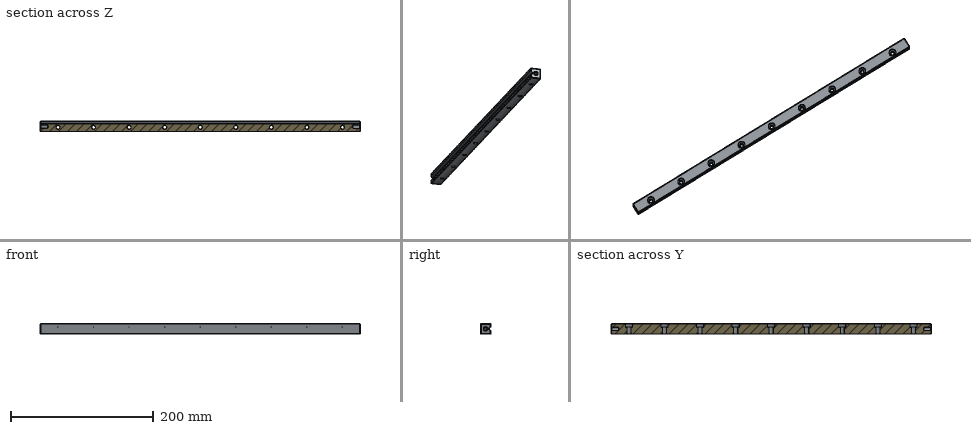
import cadquery as cq
import math

LENGTH = 450.0
WIDTH = 14.9
HEIGHT = 15.0
EDGE_CHAMFER = 0.8
END_CHAMFER_LENGTH = 0.8
END_CHAMFER_INSET = 1.2

GROOVE_OPENING = 6.6
GROOVE_ROOT_WIDTH = 1.6
RELIEF_DEPTH = 1.2

HOLE_COUNT = 9
HOLE_PITCH = 50.0
HOLE_DIAMETER = 5.2
COUNTERBORE_DIAMETER = 9.5
COUNTERBORE_DEPTH = 5.2
HOLE_FROM_BACK = 6.1

END_HOLE_DIAMETER = 4.3
END_HOLE_DEPTH = 10.0
END_COUNTERSINK_DIAMETER = 6.2
DRILL_POINT_ANGLE = 118.0
END_HOLE_FROM_BACK = 7.1

BACK_Y = -WIDTH / 2
FRONT_Y = WIDTH / 2
HOLE_Y = BACK_Y + HOLE_FROM_BACK
END_HOLE_Y = BACK_Y + END_HOLE_FROM_BACK


def tapered_end(end_sign):
    """Shallow chamfered slice that closes the bar on the given side of X."""
    taper = math.degrees(math.atan2(END_CHAMFER_INSET, END_CHAMFER_LENGTH))
    base_x = end_sign * (LENGTH / 2 - END_CHAMFER_LENGTH)
    base = cq.Workplane("YZ", origin=(base_x, 0, 0)).rect(WIDTH, HEIGHT)
    return base.extrude(end_sign * END_CHAMFER_LENGTH, taper=taper)


def rail_bar():
    """Rectangular bar with broken long edges and shallow chamfers round both ends."""
    broken_edges = cq.Workplane("XY").box(LENGTH, WIDTH, HEIGHT).edges("|X").chamfer(EDGE_CHAMFER)
    envelope = cq.Workplane("XY").box(LENGTH - 2 * END_CHAMFER_LENGTH, WIDTH, HEIGHT)
    for end_sign in (-1, 1):
        envelope = envelope.union(tapered_end(end_sign))
    return broken_edges.intersect(envelope)


def roller_groove():
    """V-groove with 45 degree flanks, cut along the whole +Y side."""
    half_opening = GROOVE_OPENING / 2
    half_root = GROOVE_ROOT_WIDTH / 2
    root_y = FRONT_Y - (half_opening - half_root)
    relief_y = root_y - RELIEF_DEPTH
    profile = [
        (FRONT_Y, half_opening),
        (root_y, half_root),
        (relief_y, half_root),
        (relief_y, -half_root),
        (root_y, -half_root),
        (FRONT_Y, -half_opening),
    ]
    return cq.Workplane("YZ").polyline(profile).close().extrude(LENGTH / 2, both=True)


def drill_mounting_holes(bar):
    """Row of counterbored through holes, centred along the length."""
    first_x = -HOLE_PITCH * (HOLE_COUNT - 1) / 2
    centres = [(first_x + i * HOLE_PITCH, HOLE_Y) for i in range(HOLE_COUNT)]
    top = cq.Workplane("XY", origin=(0, 0, HEIGHT / 2)).add(bar)
    return top.pushPoints(centres).cboreHole(HOLE_DIAMETER, COUNTERBORE_DIAMETER, COUNTERBORE_DEPTH)


def end_hole(end_sign):
    """Blind hole with a drill point and 45 degree countersink, on the given end of X."""
    start = cq.Vector(end_sign * LENGTH / 2, END_HOLE_Y, 0)
    inward = cq.Vector(-end_sign, 0, 0)
    hole_radius = END_HOLE_DIAMETER / 2
    countersink_radius = END_COUNTERSINK_DIAMETER / 2
    countersink_depth = countersink_radius - hole_radius
    bore = cq.Solid.makeCylinder(hole_radius, END_HOLE_DEPTH, start, inward)
    countersink = cq.Solid.makeCone(countersink_radius, hole_radius, countersink_depth, start, inward)
    tip_depth = hole_radius / math.tan(math.radians(DRILL_POINT_ANGLE / 2))
    tip_start = start + inward * END_HOLE_DEPTH
    tip = cq.Solid.makeCone(hole_radius, 0, tip_depth, tip_start, inward)
    return bore.fuse(countersink, tip)


result = rail_bar().cut(roller_groove())
result = drill_mounting_holes(result)
for side in (-1, 1):
    result = result.cut(end_hole(side))